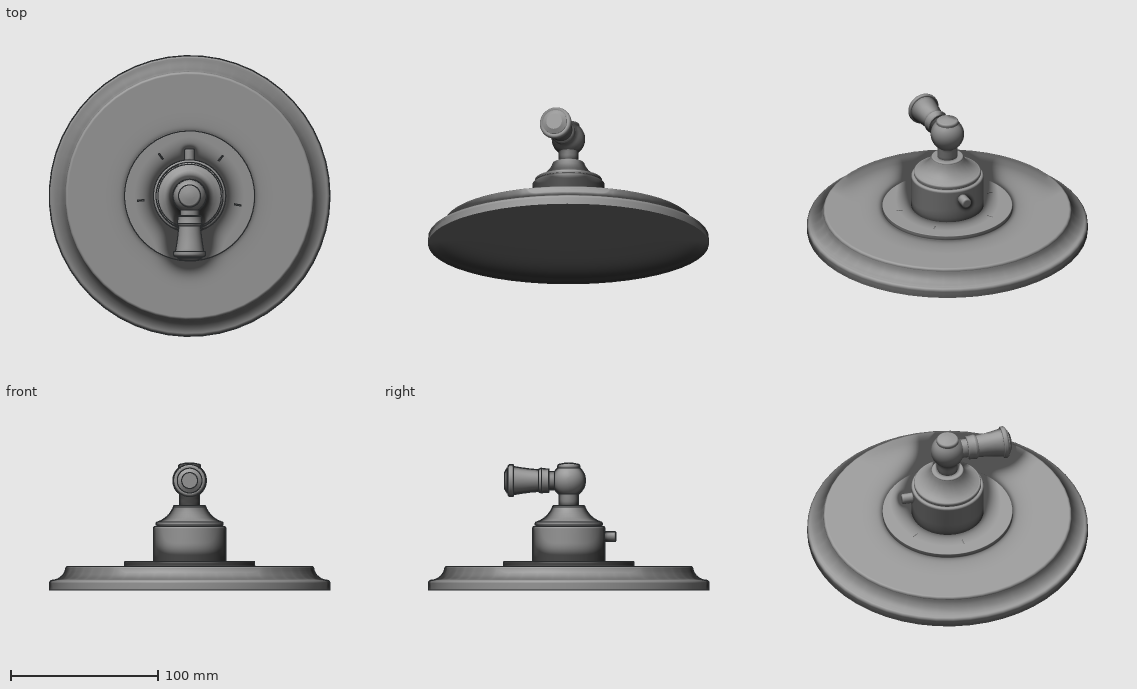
import cadquery as cq
import math

plate_radius = 95.25
plate_rim_straight = 4.5
plate_rim_height = 6.7
plate_rim_fillet = plate_rim_height - plate_rim_straight
plate_cove_top_radius = 84.2
plate_cove_top = 14.3
plate_cove_sag = 1.95
plate_top = 16.12
plate_top_fillet = plate_top - plate_cove_top

disc_radius = 44.1
disc_top = 19.4
disc_edge_fillet = 0.4
disc_base_fillet = 0.45

body_radius = 24.55
body_straight_top = 41.7
body_fillet = 1.5
body_top = body_straight_top + body_fillet
groove_radius = 22.3
ring_bottom = 44.1
ring_radius = 22.8
ring_top = 46.3
ring_fillet = 1.3
bell_top_radius = 10.9
bell_top = 56.5
bell_sag = 1.65
bell_lip = 0.9
stem_radius = 6.75

ball_radius = 11.4
ball_height = 74.25
cap_radius = 7.5
cap_straight_top = 83.9
cap_fillet = 1.5
cap_dome_edge = cap_straight_top + cap_fillet
part_height = 86.21

neck_radius = 6.3
collar_start = 13.3
collar_radius = 8.0
collar_chamfer = 0.5
collar_sag = 0.15
bead_start = 18.6
bead_radius = 8.4
bead_sag = 0.2
grip_start = 20.5
grip_start_radius = 7.4
grip_end = 37.5
grip_end_radius = 9.6
grip_sag = 0.25
flange_end = 41.2
flange_radius = 10.9
flange_inner_fillet = 0.9
flange_outer_fillet = 1.7
tip_step_radius = 8.4
tip_step_end = 41.9
tip_end = 43.6
tip_flat_radius = 5.4

button_radius = 3.45
button_height = 36.25
button_end = 32.0
button_fillet = 1.2

tick_angles = (126, 50.5, -10.5, 185.2)
tick_centre_radius = 33.2
tick_length = 4.5
tick_width = 0.8
tick_depth = 0.3

round_inset = 1 - math.sqrt(0.5)


def rounded_corner(outline, corner_radius, corner_height, size):
    """Add the round from a vertical wall up and inward to a flat at corner_height."""
    middle = (corner_radius - round_inset * size, corner_height - round_inset * size)
    return outline.threePointArc(middle, (corner_radius - size, corner_height))


def revolve_about_z(outline):
    return outline.close().revolve(360, (0, 0, 0), (0, 1, 0))


def make_plate():
    outline = cq.Workplane("XZ").lineTo(plate_radius, 0).lineTo(plate_radius, plate_rim_straight)
    outline = rounded_corner(outline, plate_radius, plate_rim_height, plate_rim_fillet)
    outline = outline.sagittaArc((plate_cove_top_radius, plate_cove_top), plate_cove_sag)
    outline = rounded_corner(outline, plate_cove_top_radius, plate_top, plate_top_fillet)
    return revolve_about_z(outline.lineTo(0, plate_top))


def make_disc():
    outline = cq.Workplane("XZ").moveTo(0, plate_top).lineTo(disc_radius + disc_base_fillet, plate_top)
    base_middle = (disc_radius + round_inset * disc_base_fillet, plate_top + round_inset * disc_base_fillet)
    outline = outline.threePointArc(base_middle, (disc_radius, plate_top + disc_base_fillet))
    outline = outline.lineTo(disc_radius, disc_top - disc_edge_fillet)
    outline = rounded_corner(outline, disc_radius, disc_top, disc_edge_fillet)
    disc = revolve_about_z(outline.lineTo(0, disc_top))
    for angle in tick_angles:
        tick = (
            cq.Workplane("XY", origin=(0, 0, disc_top - tick_depth))
            .center(tick_centre_radius, 0)
            .rect(tick_length, tick_width)
            .extrude(tick_depth)
            .rotate((0, 0, 0), (0, 0, 1), angle)
        )
        disc = disc.cut(tick)
    return disc


def make_body():
    outline = cq.Workplane("XZ").moveTo(0, plate_top).lineTo(body_radius, plate_top)
    outline = outline.lineTo(body_radius, body_straight_top)
    outline = rounded_corner(outline, body_radius, body_top, body_fillet)
    outline = outline.lineTo(groove_radius, body_top).lineTo(groove_radius, ring_bottom)
    outline = outline.lineTo(ring_radius, ring_bottom).lineTo(ring_radius, ring_top - ring_fillet)
    outline = rounded_corner(outline, ring_radius, ring_top, ring_fillet)
    outline = outline.sagittaArc((bell_top_radius, bell_top), bell_sag)
    outline = rounded_corner(outline, bell_top_radius, bell_top + bell_lip, bell_lip)
    outline = outline.lineTo(stem_radius, bell_top + bell_lip).lineTo(stem_radius, ball_height)
    return revolve_about_z(outline.lineTo(0, ball_height))


def make_ball():
    return cq.Workplane("XY").sphere(ball_radius).translate((0, 0, ball_height))


def make_cap():
    outline = cq.Workplane("XZ").moveTo(0, ball_height).lineTo(cap_radius, ball_height)
    outline = outline.lineTo(cap_radius, cap_straight_top)
    outline = rounded_corner(outline, cap_radius, cap_dome_edge, cap_fillet)
    dome_edge_radius = cap_radius - cap_fillet
    dome_rise = part_height - cap_dome_edge
    dome_radius = (dome_edge_radius**2 + dome_rise**2) / (2 * dome_rise)
    outline = outline.radiusArc((0, part_height), -dome_radius)
    return revolve_about_z(outline)


def make_lever():
    outline = cq.Workplane("XZ").lineTo(neck_radius, 0).lineTo(neck_radius, collar_start)
    outline = outline.lineTo(collar_radius - collar_chamfer, collar_start)
    outline = outline.lineTo(collar_radius, collar_start + collar_chamfer)
    outline = outline.sagittaArc((bead_radius, bead_start), collar_sag)
    outline = outline.sagittaArc((grip_start_radius, grip_start), -bead_sag)
    outline = outline.sagittaArc((grip_end_radius, grip_end), grip_sag)
    outline = outline.lineTo(flange_radius - flange_inner_fillet, grip_end)
    outline = outline.threePointArc(
        (flange_radius - round_inset * flange_inner_fillet, grip_end + round_inset * flange_inner_fillet),
        (flange_radius, grip_end + flange_inner_fillet),
    )
    outline = outline.lineTo(flange_radius, flange_end - flange_outer_fillet)
    outline = rounded_corner(outline, flange_radius, flange_end, flange_outer_fillet)
    outline = outline.lineTo(tip_step_radius, flange_end).lineTo(tip_step_radius, tip_step_end)
    outline = outline.lineTo(tip_flat_radius, tip_end).lineTo(0, tip_end)
    lever = revolve_about_z(outline)
    return lever.rotate((0, 0, 0), (1, 0, 0), 90).translate((0, 0, ball_height))


def make_button():
    button = cq.Workplane("XZ", origin=(0, 0, button_height)).circle(button_radius).extrude(-button_end)
    return button.faces(">Y").edges().fillet(button_fillet)


result = make_plate()
for piece in (make_disc(), make_body(), make_ball(), make_cap(), make_lever(), make_button()):
    result = result.union(piece)